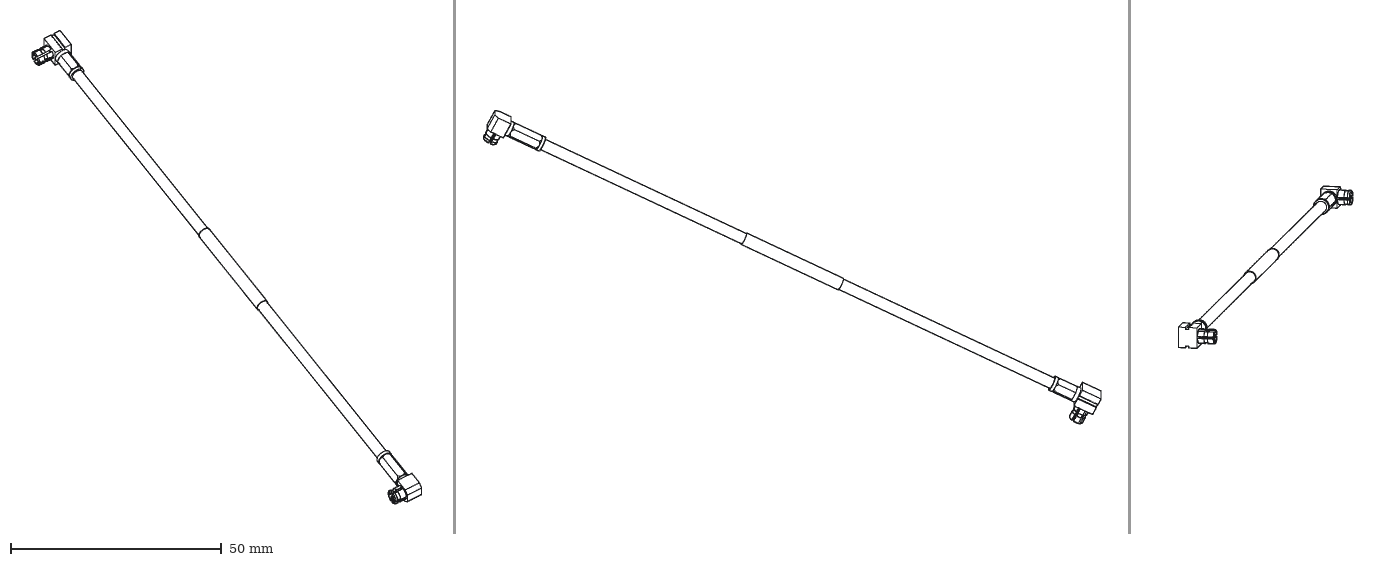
import cadquery as cq
import math

LENGTH = 161.3

CABLE_R = 1.37
MARKER_R = 1.53
MARKER_START = 68.1
MARKER_LENGTH = 25.8

FERRULE_R = 1.85
HEX_SIDES = 6
HEX_FLATS = 3.4
HEX_CORNERS = HEX_FLATS / math.cos(math.pi / HEX_SIDES)
HEX_BEVEL = 0.5
OUTER_RING = 0.8
INNER_RING = 1.0
LEFT_FERRULE = 6.8
RIGHT_FERRULE = 9.4

LEFT_WIDTH = 5.0
LEFT_HEIGHT = 5.0
LEFT_BACK_Y = 2.6
LEFT_TIP_Y = -6.0
GROOVE_Y = 0.5
GROOVE_WIDTH = 0.8
GROOVE_DEPTH = 0.5

RIGHT_WIDTH = 4.4
RIGHT_HEIGHT = 4.5
RIGHT_BACK_Y = 2.1
RIGHT_TIP_Y = -5.0
END_CHAMFER = 1.0

FACE_Y = -2.0
BARREL_R = 1.8
BORE_R = 1.21
PIN_R = 0.3
NECK_R = 1.6
SNAP_Y = -3.9
SNAP_WIDTH = 0.8
TIP_CHAMFER = 0.25
LEFT_SLOTS = 6
RIGHT_SLOTS = 4
SLOT_WIDTH = 0.5

left_ferrule_start = LEFT_WIDTH
left_ferrule_end = left_ferrule_start + LEFT_FERRULE
right_ferrule_end = LENGTH - RIGHT_WIDTH
right_ferrule_start = right_ferrule_end - RIGHT_FERRULE
left_barrel_x = LEFT_WIDTH / 2
right_barrel_x = LENGTH - RIGHT_WIDTH / 2


def x_cylinder(start, length, radius):
    """Cylinder on the cable axis."""
    return cq.Workplane("YZ", origin=(start, 0, 0)).circle(radius).extrude(length)


def y_cylinder(x, y_back, y_front, radius):
    """Cylinder running toward -Y from y_back to y_front."""
    return cq.Workplane("XZ", origin=(x, y_back, 0)).circle(radius).extrude(y_back - y_front)


def block(x_start, width, y_back, y_front, height):
    """Box centred on Z = 0."""
    base = cq.Workplane("XY", origin=(x_start, y_front, -height / 2))
    return base.box(width, y_back - y_front, height, centered=False)


def make_cable():
    cable = x_cylinder(left_ferrule_start, right_ferrule_end - left_ferrule_start, CABLE_R)
    return cable.union(x_cylinder(MARKER_START, MARKER_LENGTH, MARKER_R))


def bevel_envelope(start, length, bevel_start):
    """Round bar just wide enough for the crimp corners, coned down to the flats at its right end."""
    flat_r = HEX_FLATS / 2
    corner_r = HEX_CORNERS / 2
    start_r = flat_r if bevel_start else corner_r
    end = start + length
    profile = [
        (start, 0),
        (start, start_r),
        (start + HEX_BEVEL, corner_r),
        (end - HEX_BEVEL, corner_r),
        (end, flat_r),
        (end, 0),
    ]
    return cq.Workplane("XY").polyline(profile).close().revolve(360, (0, 0, 0), (1, 0, 0))


def make_ferrule(start, end, ring_at_start, ring_at_end, bevel_start):
    """Tube with a hexagonal crimp, always bevelled at its right end."""
    hex_start = start + ring_at_start
    hex_length = end - ring_at_end - hex_start
    crimp = cq.Workplane("YZ", origin=(hex_start, 0, 0)).polygon(HEX_SIDES, HEX_CORNERS).extrude(hex_length)
    crimp = crimp.intersect(bevel_envelope(hex_start, hex_length, bevel_start))
    ferrule = crimp.union(x_cylinder(start, ring_at_start, FERRULE_R))
    ferrule = ferrule.union(x_cylinder(end - ring_at_end, ring_at_end, FERRULE_R))
    return ferrule.cut(x_cylinder(start, end - start, CABLE_R))


def make_finger_slots(x, tip_y, slot_count):
    """Radial slots that split a barrel wall into spring fingers."""
    return (
        cq.Workplane("XZ", origin=(x, FACE_Y, 0))
        .polarArray((BORE_R + BARREL_R) / 2, 0, 360, slot_count)
        .rect(2 * (BARREL_R - BORE_R), SLOT_WIDTH)
        .extrude(FACE_Y - tip_y)
    )


def make_barrel(x, tip_y, slot_count):
    """Hollow slotted plug barrel with a snap groove and a centre pin."""
    barrel = y_cylinder(x, FACE_Y, tip_y, BARREL_R).faces("<Y").chamfer(TIP_CHAMFER)
    snap_back = SNAP_Y + SNAP_WIDTH / 2
    snap_front = SNAP_Y - SNAP_WIDTH / 2
    snap_groove = y_cylinder(x, snap_back, snap_front, BARREL_R)
    barrel = barrel.cut(snap_groove.cut(y_cylinder(x, snap_back, snap_front, NECK_R)))
    barrel = barrel.cut(y_cylinder(x, FACE_Y, tip_y, BORE_R))
    barrel = barrel.cut(make_finger_slots(x, tip_y, slot_count))
    return barrel.union(y_cylinder(x, FACE_Y, tip_y, PIN_R))


def make_left_connector():
    housing = block(0, LEFT_WIDTH, LEFT_BACK_Y, FACE_Y, LEFT_HEIGHT)
    groove_back = GROOVE_Y + GROOVE_WIDTH / 2
    groove_front = GROOVE_Y - GROOVE_WIDTH / 2
    groove_band = block(0, LEFT_WIDTH, groove_back, groove_front, LEFT_HEIGHT)
    core = block(0, LEFT_WIDTH, groove_back, groove_front, LEFT_HEIGHT - 2 * GROOVE_DEPTH)
    housing = housing.cut(groove_band.cut(core))
    barrel = make_barrel(left_barrel_x, LEFT_TIP_Y, LEFT_SLOTS)
    return housing.union(barrel)


def make_right_connector():
    housing = block(right_ferrule_end, RIGHT_WIDTH, RIGHT_BACK_Y, FACE_Y, RIGHT_HEIGHT)
    housing = housing.faces(">X").edges("|Y").chamfer(END_CHAMFER)
    return housing.union(make_barrel(right_barrel_x, RIGHT_TIP_Y, RIGHT_SLOTS))


cable = make_cable()
left_connector = make_left_connector()
right_connector = make_right_connector()

ferrule_specs = [
    (left_ferrule_start, left_ferrule_end, INNER_RING, OUTER_RING, False),
    (right_ferrule_start, right_ferrule_end, OUTER_RING, INNER_RING, True),
]
ferrules = [make_ferrule(*spec).val() for spec in ferrule_specs]

result = cq.Compound.makeCompound([cable.val(), *ferrules, left_connector.val(), right_connector.val()])